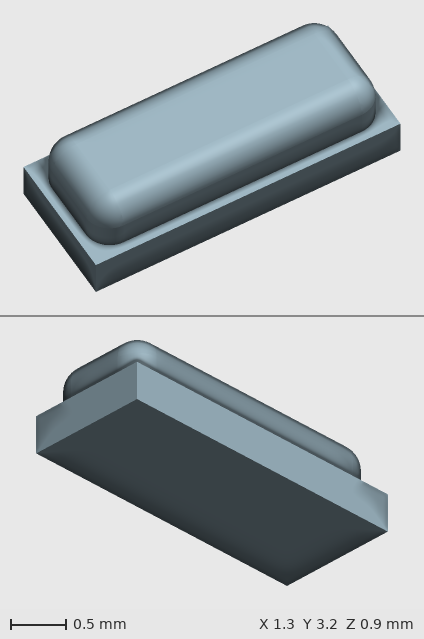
import cadquery as cq

base_length = 3.2
base_width = 1.3
base_height = 0.4
end_block_length = 0.29
middle_block_length = 1.382
inner_block_length = (base_length - middle_block_length) / 2 - end_block_length

key_length = 0.455
key_height = 0.205
key_corner_radius = 0.05

base_margin = 0.1
lens_length = base_length - 2 * base_margin
lens_width = base_width - 2 * base_margin
lens_height = 0.5
lens_radius = lens_height / 2


def make_block(length, center_y):
    """Full-width base block, resting on Z = 0."""
    return (
        cq.Workplane("XY")
        .center(0, center_y)
        .box(base_width, length, base_height, centered=(True, True, False))
    )


def make_key():
    """Bar across the full base width, rounded along its two top edges."""
    return (
        cq.Workplane("XY")
        .box(base_width, key_length, key_height, centered=(True, True, False))
        .edges("|X and >Z")
        .fillet(key_corner_radius)
    )


def make_lens():
    """Block with rounded upright corners and a rounded top rim."""
    return (
        cq.Workplane("XY")
        .workplane(offset=base_height)
        .box(lens_width, lens_length, lens_height, centered=(True, True, False))
        .edges("|Z")
        .fillet(lens_radius)
        .faces(">Z")
        .edges()
        .fillet(lens_radius)
    )


key = make_key()
middle_block = make_block(middle_block_length, 0).cut(key)
lens = make_lens()

inner_block_y = (middle_block_length + inner_block_length) / 2
end_block_y = (base_length - end_block_length) / 2
inner_blocks = []
end_blocks = []
for side in (-1, 1):
    inner_blocks.append(make_block(inner_block_length, side * inner_block_y).val())
    end_blocks.append(make_block(end_block_length, side * end_block_y).val())

result = cq.Compound.makeCompound(
    [lens.val(), middle_block.val(), key.val(), *inner_blocks, *end_blocks]
)